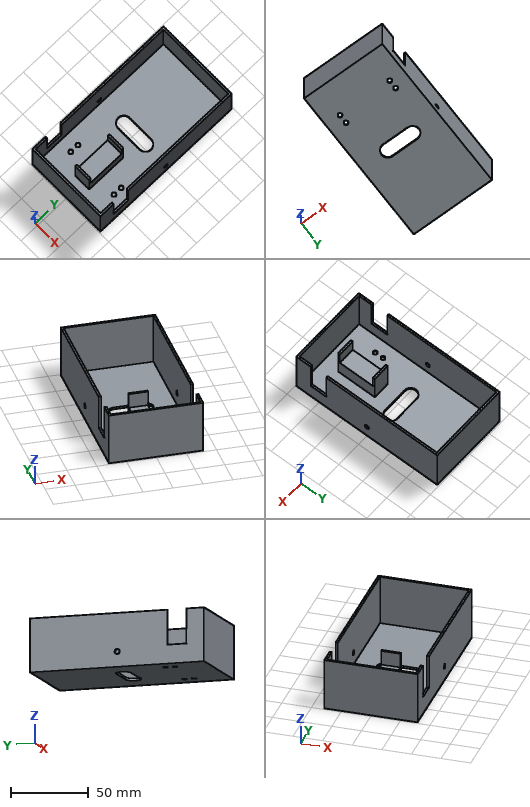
import cadquery as cq

box_width = 63.0
box_length = 118
box_height = 35.5
wall = 1.5
floor_thickness = 1.5

notch_front = -47.1
notch_back = -34.0
notch_bottom = 12.5

cradle_width = 13
cradle_front = -44.8
cradle_back = -14.0
cradle_seat_height = 13.5
cradle_top = 23.5
lip_thickness = 1.5

slot_length = 30.0
slot_width = 10.0
slot_y = 2.4
floor_hole_diameter = 3.1
floor_hole_spacing_x = 40.0
floor_hole_rows = (-29.1, -35.6)

wall_hole_diameter = 3.3
wall_hole_height = 10.1


def block(width, front, back, bottom, top):
    """Box centred on X that spans the given Y and Z limits."""
    solid = cq.Workplane("XY").box(width, back - front, top - bottom, centered=(True, False, False))
    return solid.translate((0, front, bottom))


def make_shell():
    outer = block(box_width, -box_length / 2, box_length / 2, 0, box_height)
    inner_width = box_width - 2 * wall
    inner_end = box_length / 2 - wall
    cavity = block(inner_width, -inner_end, inner_end, floor_thickness, box_height)
    return outer.cut(cavity)


def cut_side_walls(shell):
    notch = block(box_width, notch_front, notch_back, notch_bottom, box_height)
    cross_hole = (
        cq.Workplane("YZ")
        .center(0, wall_hole_height)
        .circle(wall_hole_diameter / 2)
        .extrude(box_width / 2, both=True)
    )
    return shell.cut(notch).cut(cross_hole)


def cut_floor(shell):
    slot = cq.Workplane("XY").center(0, slot_y).slot2D(slot_length, slot_width).extrude(floor_thickness)
    hole_points = [(side * floor_hole_spacing_x / 2, y) for side in (-1, 1) for y in floor_hole_rows]
    holes = (
        cq.Workplane("XY")
        .pushPoints(hole_points)
        .circle(floor_hole_diameter / 2)
        .extrude(floor_thickness)
    )
    return shell.cut(slot).cut(holes)


def make_cradle():
    body = block(cradle_width, cradle_front, cradle_back, 0, cradle_top)
    seat = block(
        cradle_width,
        cradle_front + lip_thickness,
        cradle_back - lip_thickness,
        cradle_seat_height,
        cradle_top,
    )
    return body.cut(seat)


result = cut_floor(cut_side_walls(make_shell())).union(make_cradle())